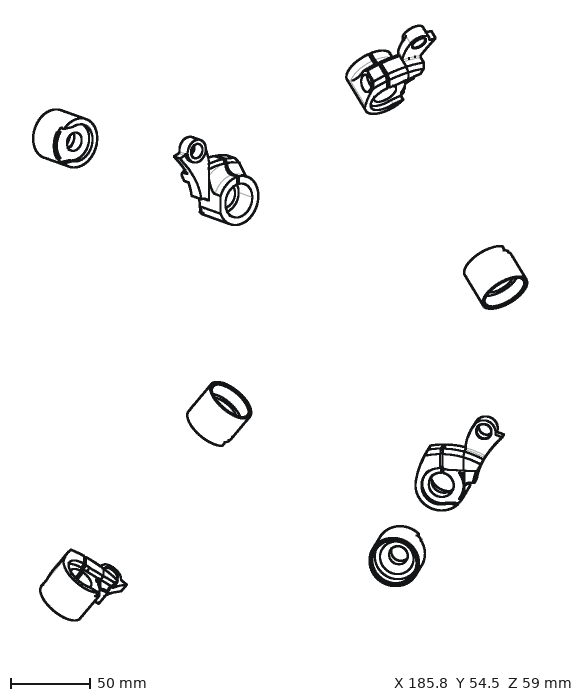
import cadquery as cq
import math

overall_length = 185.8
barrel_radius = 16.0
seat_radius = 12.0
seat_depth = 3.3

window_half_height = 11.3
relief_half_height = 8.5
relief_depth = 1.1
relief_inner_radius = 14.3
relief_outer_radius = 15.0

sleeve_length = 25.0
socket_radius = 14.1
socket_depth = 9.0
socket_chamfer = 0.5
cone_large_radius = 10.8
cone_small_radius = 6.0
cone_length = 5.4

clamp_length = 25.6
clamp_start = overall_length - clamp_length
front_hole_radius = 8.0
tube_bore_start = 12.0
tube_bore_radius = 11.0
slit_width = 1.5
joint_y = -14.9
lug_thickness = 14.0
lug_corner = (8.4, 23.0)
lug_side_middle = (12.6, 14.3)
lug_side_end = (15.8, 2.5)
flare_radius = 6.1

crown_y = -3.3
crown_z = -27.7
crown_radius = 52.0
front_chamfer = 2.8
rear_chamfer = 2.2

pocket_radius = 5.4
pocket_x = 6.9
pocket_z = 17.0
pocket_floor_y = 8.4

plate_start = 7.8
foot_fillet = 1.0
foot_chamfer = 0.7
eye_y = -26.5
eye_z = 35.5
eye_radius = 7.5
eye_hole_radius = 4.6
eye_chamfer = 0.4
eye_length = 8.4
arm_shoulder_z = 26.0
back_tangent_angle = 36.0
tip = (-38.5, 32.3)
spur_root_z = 33.8
spur_root_y = eye_y - math.sqrt(eye_radius**2 - (eye_z - spur_root_z) ** 2)
spur_fillet = 1.0
arm_front_middle = (-31.2, 24.0)
arm_front_end = (-23.5, 10.8)
arm_toe = (-21.0, 2.0)
arm_heel = (joint_y, 0.0)
toe_middle = (-18.2, 1.9)

reach = 111.5


def cylinder(start, end, radius, y=0.0, z=0.0):
    """Cylinder along X between two stations."""
    return cq.Workplane("YZ", origin=(start, y, z)).circle(radius).extrude(end - start)


def block(x_range, y_range, z_range):
    """Box given by its limits along each axis."""
    sizes = [high - low for low, high in (x_range, y_range, z_range)]
    corner = (x_range[0], y_range[0], z_range[0])
    return cq.Workplane("XY").box(*sizes, centered=False).translate(corner)


def turned(profile, y=0.0, z=0.0):
    """Solid of revolution around an X axis from a closed (x, radius) profile."""
    return profile.revolve(360, (0, 0, 0), (1, 0, 0)).translate((0, y, z))


def seat_window(rim, inward):
    """Opening through a seat wall; `rim` is the end face and `inward` the direction into the body."""
    def span(start, end):
        return sorted((rim + inward * start, rim + inward * end))

    floor = rim + inward * seat_depth
    relief_floor = floor + inward * relief_depth
    opening = block(span(0, seat_depth), (-reach, 0), (-window_half_height, window_half_height))
    relief = block(
        span(seat_depth, seat_depth + relief_depth),
        (-reach, 0),
        (-relief_half_height, relief_half_height),
    )
    core = turned(
        cq.Workplane("XY").polyline([
            (floor, 0),
            (floor, relief_inner_radius),
            (relief_floor, relief_outer_radius),
            (relief_floor, 0),
        ]).close()
    )
    return opening.union(relief.cut(core))


def make_sleeve():
    """Tube with a chamfered socket, a cone down to a narrow hole, and a seat facing the clamp."""
    cone_end = socket_depth + cone_length
    seat_floor = sleeve_length - seat_depth
    body = cylinder(0, sleeve_length, barrel_radius)
    bore = turned(
        cq.Workplane("XY").polyline([
            (0, 0),
            (0, socket_radius + socket_chamfer),
            (socket_chamfer, socket_radius),
            (socket_depth, socket_radius),
            (socket_depth, cone_large_radius),
            (cone_end, cone_small_radius),
            (seat_floor, cone_small_radius),
            (seat_floor, seat_radius),
            (sleeve_length, seat_radius),
            (sleeve_length, 0),
        ]).close()
    )
    return body.cut(bore).cut(seat_window(sleeve_length, -1))


def lug_outline(thickness):
    """Lug section, left tall so that the crown can trim its top."""
    return (
        cq.Workplane("YZ")
        .moveTo(joint_y, 0)
        .lineTo(joint_y, crown_radius)
        .lineTo(lug_corner[0], crown_radius)
        .lineTo(*lug_corner)
        .threePointArc(lug_side_middle, lug_side_end)
        .lineTo(lug_side_end[0], 0)
        .close()
        .extrude(thickness)
    )


def lug_crown():
    """Chamfered disc that bounds the lug from above."""
    profile = cq.Workplane("XY").polyline([
        (0, 0),
        (0, crown_radius - front_chamfer),
        (front_chamfer, crown_radius),
        (lug_thickness - rear_chamfer, crown_radius),
        (lug_thickness, crown_radius - rear_chamfer),
        (lug_thickness, 0),
    ]).close()
    return turned(profile, crown_y, crown_z)


def flare():
    """Ring with a concave quarter-round that runs from the lug's rear face into the barrel."""
    end = lug_thickness + flare_radius
    outer = barrel_radius + flare_radius
    bend = flare_radius * (1 - math.sqrt(0.5))
    profile = (
        cq.Workplane("XY")
        .moveTo(lug_thickness, 0)
        .lineTo(lug_thickness, outer)
        .threePointArc((lug_thickness + bend, barrel_radius + bend), (end, barrel_radius))
        .lineTo(end, 0)
        .close()
    )
    return turned(profile)


def make_clamp():
    """Split clamp: a barrel with a lug on top, built with its front face at X = 0, then moved."""
    body = cylinder(0, clamp_length, barrel_radius)
    body = body.union(lug_outline(lug_thickness).intersect(lug_crown()))
    body = body.union(flare().intersect(lug_outline(clamp_length)))
    body = body.cut(block((0, clamp_length), (-reach, joint_y), (-reach, reach)))

    body = body.cut(cylinder(0, seat_depth, seat_radius))
    body = body.cut(cylinder(0, clamp_length, front_hole_radius))
    body = body.cut(cylinder(tube_bore_start, clamp_length, tube_bore_radius))
    body = body.cut(block((0, clamp_length), (-slit_width, 0), (0, reach)))

    pocket = (
        cq.Workplane("XZ", origin=(pocket_x, pocket_floor_y, pocket_z))
        .circle(pocket_radius)
        .extrude(-barrel_radius)
    )
    body = body.cut(pocket).cut(seat_window(0, 1))
    return body.translate((clamp_start, 0, 0))


def arm_outline():
    """Arm section over the full lug thickness, from the heel up the back, round the eye and down."""
    end_angle = math.radians(back_tangent_angle)
    across = math.cos(end_angle)
    up = math.sin(end_angle)
    eye_tangent = (eye_y + eye_radius * across, eye_z + eye_radius * up)
    chord_y = eye_tangent[0] - joint_y
    chord_z = eye_tangent[1] - arm_shoulder_z
    back_radius = (chord_y**2 + chord_z**2) / (2 * (chord_y * across + chord_z * up))
    back_y = eye_tangent[0] - back_radius * across
    back_z = eye_tangent[1] - back_radius * up
    start_angle = math.atan2(arm_shoulder_z - back_z, joint_y - back_y)
    middle_angle = (start_angle + end_angle) / 2
    back_middle = (
        back_y + back_radius * math.cos(middle_angle),
        back_z + back_radius * math.sin(middle_angle),
    )
    return (
        cq.Workplane("YZ")
        .moveTo(*arm_heel)
        .lineTo(joint_y, arm_shoulder_z)
        .threePointArc(back_middle, eye_tangent)
        .threePointArc((eye_y - eye_radius, eye_z), (spur_root_y, spur_root_z))
        .lineTo(*tip)
        .spline([arm_front_middle, arm_front_end, arm_toe], includeCurrent=True)
        .threePointArc(toe_middle, arm_heel)
        .close()
        .extrude(lug_thickness)
    )


def arm_steps():
    """Turned envelope: the foot under the crown, then a fillet up to the thinner plate."""
    bend = foot_fillet * (1 - math.sqrt(0.5))
    profile = (
        cq.Workplane("XY")
        .moveTo(0, 0)
        .lineTo(0, crown_radius - front_chamfer)
        .lineTo(front_chamfer, crown_radius)
        .lineTo(plate_start - foot_fillet, crown_radius)
        .threePointArc(
            (plate_start - bend, crown_radius + bend),
            (plate_start, crown_radius + foot_fillet),
        )
        .lineTo(plate_start, reach)
        .lineTo(lug_thickness, reach)
        .lineTo(lug_thickness, 0)
        .close()
    )
    return turned(profile, crown_y, crown_z)


def make_arm():
    """Arm with a foot flush with the lug, a thinner plate and an eye that stands out behind it."""
    spur_corner = cq.selectors.NearestToPointSelector(
        (lug_thickness / 2, spur_root_y, spur_root_z)
    )
    body = arm_outline().edges("|X").edges(spur_corner).fillet(spur_fillet)
    body = body.intersect(arm_steps())
    eye_end = plate_start + eye_length
    body = body.union(cylinder(plate_start, eye_end, eye_radius, eye_y, eye_z))
    hole = turned(
        cq.Workplane("XY").polyline([
            (plate_start, 0),
            (plate_start, eye_hole_radius + eye_chamfer),
            (plate_start + eye_chamfer, eye_hole_radius),
            (eye_end, eye_hole_radius),
            (eye_end, 0),
        ]).close(),
        eye_y,
        eye_z,
    )
    body = body.cut(hole)

    body = body.cut(block((0, seat_depth), (-reach, 0), (-window_half_height, window_half_height)))
    foot_face = cq.selectors.NearestToPointSelector(
        (seat_depth, (joint_y + arm_front_end[0]) / 2, window_half_height / 2)
    )
    body = body.faces(foot_face).edges("not |Y").edges("not |Z").chamfer(foot_chamfer)
    return body.translate((clamp_start, 0, 0))


sleeve = make_sleeve()
clamp = make_clamp()
arm = make_arm()

result = cq.Compound.makeCompound([sleeve.val(), clamp.val(), arm.val()])